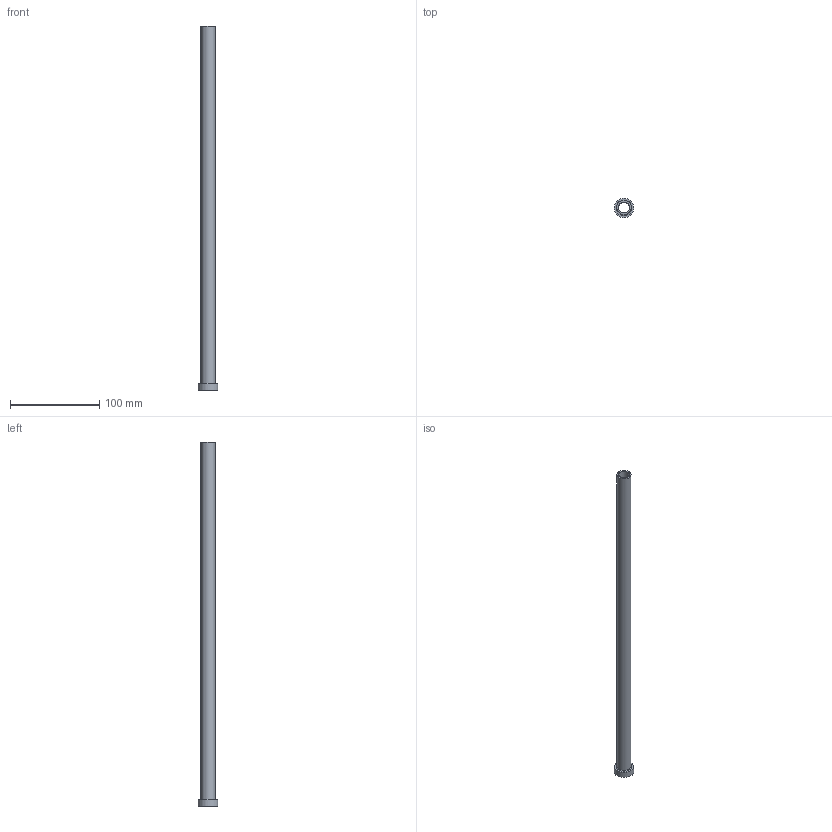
import cadquery as cq

HEAD_DIAMETER = 22.0
HEAD_HEIGHT = 7.0
TUBE_DIAMETER = 16.0
TUBE_LENGTH = 400.0
BORE_DIAMETER = 12.0
NECK_FILLET = 0.8

TOTAL_LENGTH = TUBE_LENGTH + HEAD_HEIGHT
HEAD_RADIUS = HEAD_DIAMETER / 2
TUBE_RADIUS = TUBE_DIAMETER / 2
BORE_RADIUS = BORE_DIAMETER / 2


def make_headed_sleeve():
    """Revolve the wall section, drawn on the -X side, around the Z axis."""
    section = (
        cq.Workplane("XZ")
        .moveTo(-BORE_RADIUS, 0)
        .lineTo(-HEAD_RADIUS, 0)
        .lineTo(-HEAD_RADIUS, HEAD_HEIGHT)
        .lineTo(-TUBE_RADIUS - NECK_FILLET, HEAD_HEIGHT)
        .radiusArc((-TUBE_RADIUS, HEAD_HEIGHT + NECK_FILLET), -NECK_FILLET)
        .lineTo(-TUBE_RADIUS, TOTAL_LENGTH)
        .lineTo(-BORE_RADIUS, TOTAL_LENGTH)
        .close()
    )
    return section.revolve(360, (0, 0), (0, 1))


result = make_headed_sleeve()